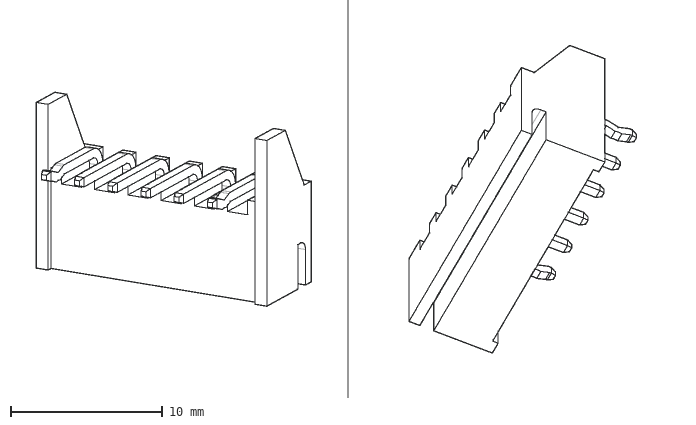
import cadquery as cq
import math


housing_width = 17.4
plate_thickness = 0.9
plate_height = 11.5
plate_depth = 6.1
plate_slope_start = 0.95
plate_slope_end = 3.55
block_depth = 5.7
block_height = 7.0
channel_floor = 5.99
channel_width = 1.5

slot_back = 0.8
slot_width = 1.01
slot_height = 3.1
slot_corner_radius = 0.63

pin_count = 6
pin_pitch = 2.5
pin_size = 0.65
pin_top = 7.92
pin_back = 2.02
pin_reach = 9.5
bend_inner_radius = 0.65
tip_length = 0.38
tip_size = 0.37

kink_center = 8.1
kink_half_span = 0.89
kink_angle = math.radians(22)
kink_start_y = -(kink_center - kink_half_span)
kink_end_y = -(kink_center + kink_half_span)
kink_arc_run = pin_size * math.sin(kink_angle)
kink_drop = (kink_half_span - kink_arc_run) * math.tan(kink_angle)

bend_outer_radius = bend_inner_radius + pin_size
pin_bottom = pin_top - pin_size
bend_center_y = -(pin_back + bend_outer_radius)
bend_center_z = pin_top - bend_outer_radius
tip_start = pin_reach - tip_length
pin_positions = [(i - (pin_count - 1) / 2) * pin_pitch for i in range(pin_count)]


def make_end_plate(left_side_x):
    """Upright plate with a sloped back edge, its left side at the given X."""
    outline = [
        (0, 0),
        (-plate_depth, 0),
        (-plate_depth, plate_height),
        (-plate_slope_end, plate_height),
        (-plate_slope_start, block_height),
        (0, block_height),
    ]
    plane = cq.Workplane("YZ", origin=(left_side_x, 0, 0))
    return plane.polyline(outline).close().extrude(plate_thickness)


def make_channel(x):
    """Cutter for the channel that runs front to back under one pin."""
    channel_depth = block_height - channel_floor
    return (
        cq.Workplane("XY", origin=(x, -block_depth / 2, channel_floor))
        .rect(channel_width, block_depth)
        .extrude(channel_depth)
    )


def make_slot():
    """Cutter for the slot through the full width, with its rear top corner rounded."""
    return (
        cq.Workplane("YZ", origin=(-housing_width / 2, 0, 0))
        .moveTo(-slot_back, 0)
        .lineTo(-slot_back, slot_height - slot_corner_radius)
        .radiusArc((-slot_back - slot_corner_radius, slot_height), -slot_corner_radius)
        .lineTo(-slot_back - slot_width, slot_height)
        .lineTo(-slot_back - slot_width, 0)
        .close()
        .extrude(housing_width)
    )


def make_housing():
    """Block between two end plates, with a channel for every pin."""
    block_width = housing_width - 2 * plate_thickness
    housing = (
        cq.Workplane("XY", origin=(0, -block_depth / 2, 0))
        .rect(block_width, block_depth)
        .extrude(block_height)
    )
    for plate_x in (-housing_width / 2, block_width / 2):
        housing = housing.union(make_end_plate(plate_x))
    for x in pin_positions:
        housing = housing.cut(make_channel(x))
    return housing.cut(make_slot())


def add_kinked_top(outline):
    """Draw the upper edge of the kink, from the bend towards the tip."""
    crest_z = pin_bottom + pin_size * math.cos(kink_angle)
    return (
        outline.lineTo(kink_start_y, pin_top)
        .radiusArc((kink_start_y - kink_arc_run, crest_z), -pin_size)
        .lineTo(-kink_center, crest_z - kink_drop)
        .lineTo(kink_end_y + kink_arc_run, crest_z)
        .radiusArc((kink_end_y, pin_top), -pin_size)
    )


def add_kinked_bottom(outline):
    """Draw the lower edge of the kink, from the tip back towards the bend."""
    belly_z = pin_bottom - kink_drop
    return (
        outline.lineTo(kink_end_y, pin_bottom)
        .lineTo(-kink_center - kink_arc_run, belly_z)
        .radiusArc((-kink_center + kink_arc_run, belly_z), pin_size)
        .lineTo(kink_start_y, pin_bottom)
    )


def make_pin(x, kinked):
    """Square pin standing on the channel floor and bent forward, with a tapered tip."""
    outline = (
        cq.Workplane("YZ", origin=(x, 0, 0))
        .moveTo(-pin_back, channel_floor)
        .lineTo(-pin_back, bend_center_z)
        .radiusArc((bend_center_y, pin_top), -bend_outer_radius)
    )
    if kinked:
        outline = add_kinked_top(outline)
    outline = outline.lineTo(-tip_start, pin_top).lineTo(-tip_start, pin_bottom)
    if kinked:
        outline = add_kinked_bottom(outline)
    shaft = (
        outline.lineTo(bend_center_y, pin_bottom)
        .radiusArc((-pin_back - pin_size, bend_center_z), bend_inner_radius)
        .lineTo(-pin_back - pin_size, channel_floor)
        .close()
        .extrude(pin_size / 2, both=True)
    )
    tip = (
        cq.Workplane("XZ", origin=(x, -tip_start, pin_top - pin_size / 2))
        .rect(pin_size, pin_size)
        .workplane(offset=tip_length)
        .rect(tip_size, tip_size)
        .loft()
    )
    return shaft.union(tip)


housing = make_housing()
end_positions = (pin_positions[0], pin_positions[-1])
pins = [make_pin(x, x in end_positions) for x in pin_positions]

result = cq.Compound.makeCompound([housing.val(), *[pin.val() for pin in pins]])